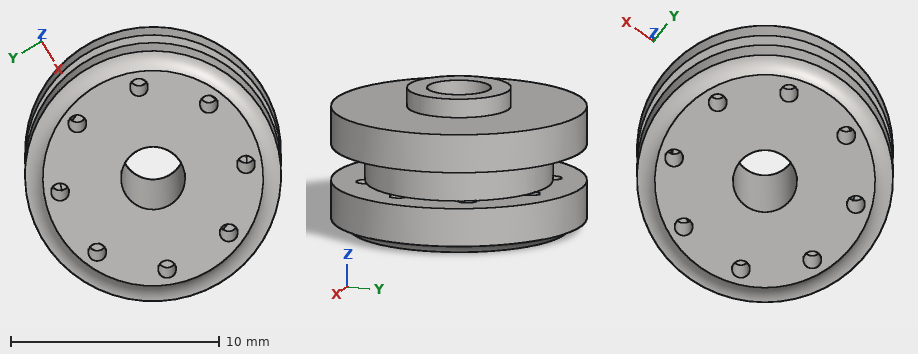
import cadquery as cq

flange_radius = 6.15
flange_thickness = 1.87
groove_radius = 4.51
groove_width = 1.77
hub_radius = 2.5
hub_height = 0.91
bore_radius = 1.54
total_height = 6.9

base_radius = 5.29
cove_mid_radius = 5.58
cove_mid_height = 0.3

hole_count = 8
hole_radius = 0.43
hole_circle_radius = groove_radius
hole_pitch = 360.0 / hole_count

upper_flange_top = total_height - hub_height
groove_top = upper_flange_top - flange_thickness
groove_bottom = groove_top - groove_width
cove_top = groove_bottom - flange_thickness


def make_body():
    """Revolve the half section, including the bore, about the Z axis."""
    return (
        cq.Workplane("XZ")
        .moveTo(bore_radius, 0)
        .lineTo(base_radius, 0)
        .threePointArc((cove_mid_radius, cove_mid_height), (flange_radius, cove_top))
        .lineTo(flange_radius, groove_bottom)
        .lineTo(groove_radius, groove_bottom)
        .lineTo(groove_radius, groove_top)
        .lineTo(flange_radius, groove_top)
        .lineTo(flange_radius, upper_flange_top)
        .lineTo(hub_radius, upper_flange_top)
        .lineTo(hub_radius, total_height)
        .lineTo(bore_radius, total_height)
        .close()
        .revolve(360, (0, 0, 0), (0, 1, 0))
    )


def make_flange_holes():
    """Holes through the lower flange, ending level with the groove floor."""
    return (
        cq.Workplane("XY")
        .polarArray(hole_circle_radius, hole_pitch / 2, 360, hole_count)
        .circle(hole_radius)
        .extrude(groove_bottom)
    )


result = make_body().cut(make_flange_holes())